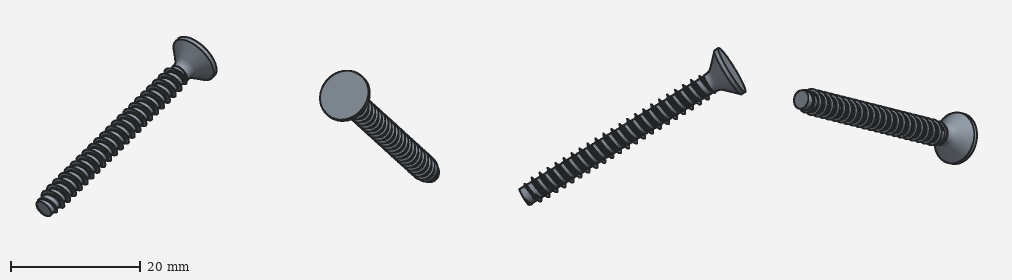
import cadquery as cq
import math

length = 38.0
head_radius = 8.0 / 2
rim_thickness = 0.72
neck_radius = 1.55
neck_fillet_radius = 1.55
neck_end = 4.18

core_radius = 2.93 / 2

crest_radius = 2.0
crest_half_width = 0.03
flank_radius = 1.55
flank_half_width = 0.17
foot_half_width = 0.45
foot_sink = 0.03
thread_start = 4.03
whole_turns = 23
whole_turns_length = 33.55
extra_turn = 0.25
turns = whole_turns + extra_turn
grow_turns = 1.0
fade_turns = 1.5
start_height_fraction = 0.4
end_height_fraction = 0.08
start_angle = 180.0
pitch = whole_turns_length / whole_turns


def make_body():
    """Head, neck fillet, neck and core as one revolved outline of (radius, depth)."""
    slope = math.radians(45)
    fillet_outer = neck_radius + neck_fillet_radius * (1 - math.cos(slope))
    cone_end = rim_thickness + head_radius - fillet_outer
    fillet_end = cone_end + neck_fillet_radius * math.sin(slope)
    fillet_middle = (
        neck_radius + neck_fillet_radius * (1 - math.cos(slope / 2)),
        fillet_end - neck_fillet_radius * math.sin(slope / 2),
    )
    outline = (
        cq.Workplane("XY")
        .lineTo(head_radius, 0)
        .lineTo(head_radius, rim_thickness)
        .lineTo(fillet_outer, cone_end)
        .threePointArc(fillet_middle, (neck_radius, fillet_end))
        .lineTo(neck_radius, neck_end)
        .lineTo(core_radius, neck_end)
        .lineTo(core_radius, length)
        .lineTo(0, length)
        .close()
    )
    body = outline.revolve(360, (0, 0), (0, 1)).val()
    return body.rotate(cq.Vector(0, 0, 0), cq.Vector(1, 0, 0), 90)


def helix(first_turn, last_turn, first_radius, last_radius, offset):
    """Helix between two turn counts, its radius changing evenly along the way."""
    rise = pitch * (last_turn - first_turn)
    if first_radius == last_radius:
        curve = cq.Wire.makeHelix(pitch, rise, first_radius)
    else:
        cone_angle = math.atan2(last_radius - first_radius, rise)
        stretch = 1 / math.cos(cone_angle)
        curve = cq.Wire.makeHelix(
            pitch * stretch, rise * stretch, first_radius, angle=math.degrees(cone_angle)
        )
    turned = curve.rotate(cq.Vector(0, 0, 0), cq.Vector(0, 0, 1), start_angle + 360 * first_turn)
    return turned.translate(cq.Vector(0, 0, thread_start + pitch * first_turn + offset))


def make_thread():
    """Solid thread: helical faces between neighbouring profile corners, closed at both ends."""
    root_radius = core_radius - foot_sink
    profile = [
        (-foot_half_width, root_radius),
        (-flank_half_width, flank_radius),
        (-crest_half_width, crest_radius),
        (crest_half_width, crest_radius),
        (flank_half_width, flank_radius),
        (foot_half_width, root_radius),
    ]
    stretches = [
        (0, grow_turns, start_height_fraction, 1),
        (grow_turns, turns - fade_turns, 1, 1),
        (turns - fade_turns, turns, 1, end_height_fraction),
    ]

    def scaled(radius, fraction):
        return root_radius + fraction * (radius - root_radius)

    faces = []
    for first_turn, last_turn, first_fraction, last_fraction in stretches:
        curves = [
            helix(first_turn, last_turn, scaled(radius, first_fraction), scaled(radius, last_fraction), offset)
            for offset, radius in profile
        ]
        for curve, neighbour in zip(curves, curves[1:] + curves[:1]):
            faces.append(cq.Face.makeRuledSurface(curve, neighbour))

    for turn, fraction in ((0, start_height_fraction), (turns, end_height_fraction)):
        angle = math.radians(start_angle + 360 * turn)
        corners = [
            cq.Vector(
                scaled(radius, fraction) * math.cos(angle),
                scaled(radius, fraction) * math.sin(angle),
                thread_start + pitch * turn + offset,
            )
            for offset, radius in profile
        ]
        faces.append(cq.Face.makeFromWires(cq.Wire.makePolygon(corners, close=True)))

    return cq.Solid.makeSolid(cq.Shell.makeShell(faces))


screw = cq.Workplane(obj=make_body()).union(cq.Workplane(obj=make_thread()))

beyond_tip = cq.Workplane("XY", origin=(0, 0, length)).circle(head_radius).extrude(pitch)
screw = screw.cut(beyond_tip)

result = screw.rotate((0, 0, 0), (1, 0, 0), 90)